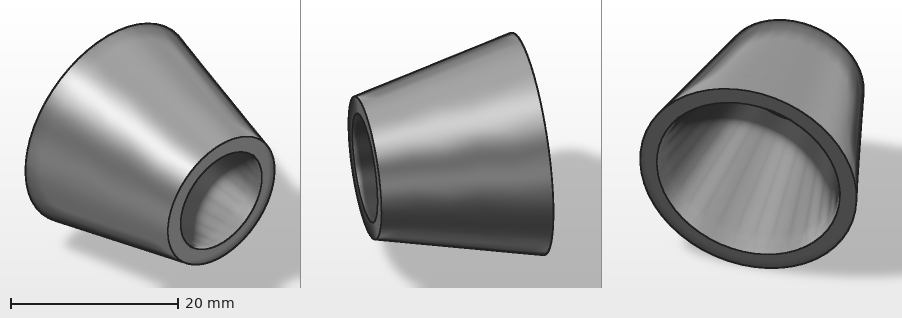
import cadquery as cq

length = 20.0
wide_diameter = 26.9
narrow_diameter = 17.3
wall = 2.07

wide_radius = wide_diameter / 2
narrow_radius = narrow_diameter / 2

wall_section = (
    cq.Workplane("XZ")
    .moveTo(-length / 2, wide_radius)
    .lineTo(length / 2, narrow_radius)
    .lineTo(length / 2, narrow_radius - wall)
    .lineTo(-length / 2, wide_radius - wall)
    .close()
)

result = wall_section.revolve(360, (0, 0, 0), (1, 0, 0))